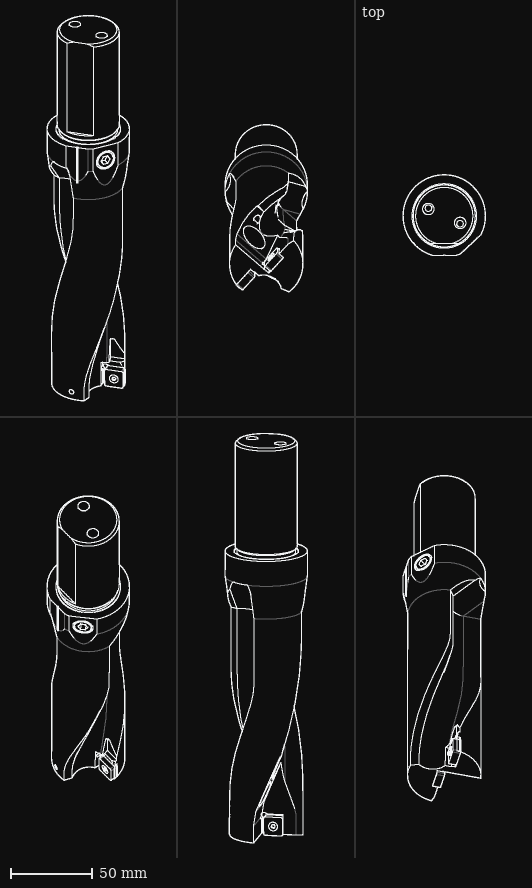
import cadquery as cq
import math


total_length = 251.3
shank_radius = 19.0
shank_bottom = 184.0
shank_chamfer = 1.5
shank_flat_y = -17.0
shank_flat_bottom = 187.0
neck_radius = 18.0
neck_groove_radius = 19.9
neck_groove_depth = 0.8
collar_radius = 25.5
collar_top = 181.2
cone_top = 165.4
cone_bottom = 143.7
collar_flat_y = -24.5
mark_width = 0.8
mark_depth = 0.5
mark_bottom = 155.8

body_radius = 22.5
body_bottom = 0.8
clear_radius = 35.2
flute_side_x = -3.0
flute_wall_end_y = -11.3
flute_lip = (-18.0, -1.3)
flute_lip_end = (-22.4, 1.5)
flute_twist = 76.0
guide_points = 60
inner_twist = (12.5, 125.6)
outer_twist = (10.0, 98.0)
flute_top = cone_bottom
runout = (-2.3, -18.3, cone_top - flute_top)
scoop_radius = 8.5
scoop_center = (-0.5, 11.5, 30.2)

coolant_start = (-9.8, 4.3)
coolant_exit = (-8.0, 15.0, 42.7)
coolant_radius = 2.0
coolant_mouth_radius = 3.5
coolant_mouth_depth = 10.0

insert_size = 11.8
insert_thickness = 5.0
insert_corner_radius = 1.0
outer_insert_x = 16.3
inner_insert_x = -4.3
outer_insert_bottom = 0.3
inner_insert_bottom = 0.0
seat_gap = 1.5
seat_relief_radius = 2.3
chip_flat_depth = 2.5
screw_head_radius = 2.8
screw_shank_radius = 1.5
screw_head_height = 2.3
screw_length = 11.3
screw_height = insert_size / 2
socket_radius = 1.3
socket_depth = 1.3

outer_pocket_x = 8.5
outer_pocket_top = 17.0
outer_flat_x = 13.0
outer_flat_y = 4.5
outer_flat_bottom = 18.8
outer_flat_top = 32.0
inner_floor_y = -1.5
inner_wall_outline = [
    (3.3, 0.0),
    (3.3, 11.5),
    (1.8, 20.9),
    (-12.5, 55.3),
]

plug_angle = -47.0
plug_flat_distance = 23.9
plug_z = 171.1
plug_radius = 5.3
plug_length = 7.5
plug_recess_radius = 6.3
plug_recess_depth = 1.0
plug_socket_radius = 3.0
plug_socket_depth = 4.0


def box(x_range, y_range, z_range):
    """Solid block between the given limits."""
    lows, highs = zip(x_range, y_range, z_range)
    sizes = [high - low for low, high in zip(lows, highs)]
    return cq.Workplane("XY").box(*sizes, centered=False).translate(lows)


def half_turn(shape):
    return shape.rotate((0, 0, 0), (0, 0, 1), 180)


def turned_blank():
    """Shank, neck, collar, cone and drill body as one revolved shape."""
    outline = [
        (0, body_bottom),
        (body_radius, body_bottom),
        (body_radius, cone_bottom),
        (collar_radius, cone_top),
        (collar_radius, collar_top),
        (neck_groove_radius, collar_top),
        (neck_groove_radius, collar_top - neck_groove_depth),
        (neck_radius, collar_top - neck_groove_depth),
        (neck_radius, shank_bottom - (shank_radius - neck_radius)),
        (shank_radius, shank_bottom),
        (shank_radius, total_length - shank_chamfer),
        (shank_radius - shank_chamfer, total_length),
        (0, total_length),
    ]
    return cq.Workplane("XZ").polyline(outline).close().revolve(360, (0, 0), (0, 1))


def flats_and_mark():
    """Clamping flat, two collar flats and the index mark, as cutters."""
    wide = (-clear_radius, clear_radius)
    shank_flat = box(wide, (-clear_radius, shank_flat_y), (shank_flat_bottom, total_length))
    collar_flat = box(wide, (-clear_radius, collar_flat_y), (cone_bottom, collar_top))
    plug_flat = box((plug_flat_distance, clear_radius), wide, (cone_bottom, collar_top))
    plug_flat = plug_flat.rotate((0, 0, 0), (0, 0, 1), plug_angle)
    mark = box(
        (-mark_width / 2, mark_width / 2),
        (-clear_radius, collar_flat_y + mark_depth),
        (mark_bottom, collar_top),
    )
    return [shank_flat, collar_flat, plug_flat, mark]


def flute_profile(z):
    """Flute section at the flute top: a rounded corner open towards -X and -Y."""
    radius, arc_x = flute_floor_arc()
    bulge = radius * math.sqrt(0.5)
    slope = (flute_lip_end[1] - flute_lip[1]) / (flute_lip_end[0] - flute_lip[0])
    lip_clear_y = flute_lip[1] - slope * (clear_radius + flute_lip[0])
    return (
        cq.Workplane("XY", origin=(0, 0, z))
        .moveTo(-clear_radius, lip_clear_y)
        .lineTo(*flute_lip)
        .threePointArc((arc_x + bulge, flute_wall_end_y + bulge), (flute_side_x, flute_wall_end_y))
        .lineTo(flute_side_x, -clear_radius)
        .lineTo(-clear_radius, -clear_radius)
        .close()
        .wire()
        .val()
    )


def flute_floor_arc():
    """Radius and centre X of the arc that leaves the wall smoothly and ends at the lip."""
    across = flute_side_x - flute_lip[0]
    along = flute_lip[1] - flute_wall_end_y
    radius = (across**2 + along**2) / (2 * across)
    return radius, flute_side_x - radius


def flute(twist_range):
    """Twisted flute with a slanted exit through the cone, for the inner insert's side."""
    twist_start, twist_end = twist_range

    def angle_at(z):
        """Flute angle in degrees: constant near both ends, a smooth turn between."""
        t = min(max((z - twist_start) / (twist_end - twist_start), 0), 1)
        return flute_twist * (t * t * (3 - 2 * t) - 1)

    def guide_point(t):
        z = t * flute_top
        angle = math.radians(angle_at(z))
        return (clear_radius * math.cos(angle), clear_radius * math.sin(angle), z)

    spine = cq.Workplane("XZ").lineTo(0, flute_top)
    guide = cq.Workplane("XY").parametricCurve(guide_point, N=guide_points)
    tip_profile = flute_profile(0).rotate(cq.Vector(0, 0, 0), cq.Vector(0, 0, 1), angle_at(0))
    twisted = cq.Workplane("XY").add(tip_profile).toPending().sweep(spine, auxSpine=guide)
    top_profile = flute_profile(flute_top)
    exit_profile = top_profile.translate(cq.Vector(*runout))
    slanted_exit = cq.Workplane(cq.Solid.makeLoft([top_profile, exit_profile], True))
    return [twisted, slanted_exit]


def coolant_channel():
    """Mouth in the shank end and a slanted bore that opens in the flute."""
    x, y = coolant_start
    mouth = cq.Workplane("XY", origin=(x, y, total_length)).circle(coolant_mouth_radius)
    mouth = mouth.extrude(-coolant_mouth_depth)
    start = cq.Vector(x, y, total_length)
    path = cq.Vector(*coolant_exit) - start
    bore = cq.Solid.makeCylinder(coolant_radius, path.Length, start, path)
    return [mouth, cq.Workplane(bore)]


def chip_pockets():
    """Open space in front of the outer insert (facing -Y) and the inner one (facing +Y)."""
    outer_pocket = box(
        (outer_pocket_x, clear_radius), (-clear_radius, chip_flat_depth), (0, outer_pocket_top)
    )
    outer_flat = (
        cq.Workplane("YZ", origin=(outer_flat_x, 0, 0))
        .moveTo(0, outer_pocket_top)
        .lineTo(chip_flat_depth, outer_pocket_top)
        .lineTo(outer_flat_y, outer_flat_bottom)
        .lineTo(outer_flat_y, outer_flat_top)
        .lineTo(0, outer_flat_top)
        .close()
        .extrude(clear_radius)
    )
    top_z = inner_wall_outline[-1][1]
    inner_pocket = (
        cq.Workplane("XZ", origin=(0, inner_floor_y, 0))
        .polyline([(-clear_radius, 0), *inner_wall_outline, (-clear_radius, top_z)])
        .close()
        .extrude(-clear_radius)
    )
    scoop = cq.Workplane("XY").sphere(scoop_radius).translate(scoop_center)
    return [outer_pocket, outer_flat, inner_pocket, scoop]


def screw_blank():
    """Countersunk screw shape along +Y, its head flush with Y = 0."""
    outline = [
        (0, 0),
        (screw_head_radius, 0),
        (screw_shank_radius, screw_head_height),
        (screw_shank_radius, screw_length),
        (0, screw_length),
    ]
    return cq.Workplane("XY").polyline(outline).close().revolve(360, (0, 0), (0, 1))


def insert_blank():
    """Square insert facing -Y, centred on X with its lower edge at Z = 0."""
    return (
        cq.Workplane("XZ", origin=(0, 0, insert_size / 2))
        .rect(insert_size, insert_size)
        .extrude(-insert_thickness)
        .edges("|Y")
        .fillet(insert_corner_radius)
    )


def insert_seat():
    """Recess for an insert facing -Y, with a relief bore at the inner corner."""
    half = insert_size / 2
    recess = box((-half - seat_gap, half), (0, insert_thickness), (-seat_gap, insert_size + seat_gap))
    relief = (
        cq.Workplane("XZ", origin=(-half, 0, insert_size))
        .circle(seat_relief_radius)
        .extrude(-insert_thickness)
    )
    return recess.union(relief)


def insert():
    return insert_blank().cut(screw_blank().translate((0, 0, screw_height)))


def insert_screw():
    socket = cq.Workplane("XZ").polygon(6, 2 * socket_radius).extrude(-socket_depth)
    return screw_blank().cut(socket).translate((0, 0, screw_height))


def insert_placements():
    """Functions that move a part from its own origin to the outer and inner seats."""
    return [
        lambda part: part.translate((outer_insert_x, 0, outer_insert_bottom)),
        lambda part: half_turn(part).translate((inner_insert_x, 0, inner_insert_bottom)),
    ]


def place_on_plug_flat(shape):
    """Move a shape that runs from the origin along -X so that it starts on the plug flat."""
    return shape.translate((plug_flat_distance, 0, plug_z)).rotate((0, 0, 0), (0, 0, 1), plug_angle)


def disc(radius, depth):
    return cq.Workplane("YZ").circle(radius).extrude(-depth)


def plug():
    """Coolant plug with a hexagon socket."""
    shape = disc(plug_radius, plug_length)
    socket = cq.Workplane("YZ").polygon(6, 2 * plug_socket_radius).extrude(-plug_socket_depth)
    return place_on_plug_flat(shape.cut(socket))


def holder():
    shape = turned_blank()
    cutters = flats_and_mark() + chip_pockets()
    cutters += flute(inner_twist)
    cutters += [half_turn(cutter) for cutter in flute(outer_twist)]
    for cutter in coolant_channel():
        cutters += [cutter, half_turn(cutter)]
    for place in insert_placements():
        cutters += [place(insert_seat()), place(screw_blank().translate((0, 0, screw_height)))]
    tail = cq.Workplane("XZ", origin=(inner_insert_x, 0, screw_height)).circle(screw_shank_radius)
    cutters.append(tail.extrude(clear_radius))
    cutters.append(place_on_plug_flat(disc(plug_recess_radius, plug_recess_depth)))
    cutters.append(place_on_plug_flat(disc(plug_radius, plug_length)))
    for cutter in cutters:
        shape = shape.cut(cutter)
    return shape


inserts = [place(insert()) for place in insert_placements()]
screws = [place(insert_screw()) for place in insert_placements()]
bodies = [holder(), *inserts, *screws, plug()]
result = cq.Compound.makeCompound([body.solids().val() for body in bodies])